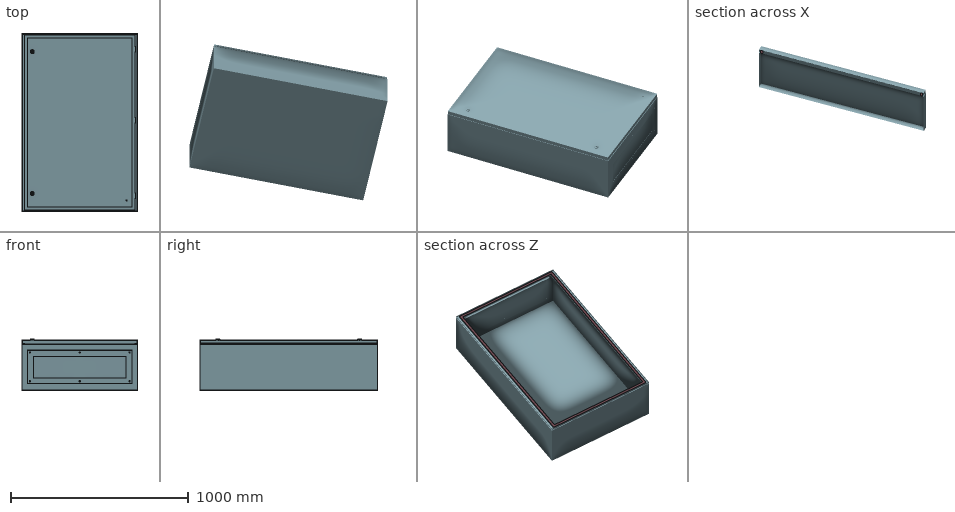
import cadquery as cq

box_width = 650.0
box_length = 1000.0
box_height = 260.0
box_wall = 1.5

door_width = 648.0
door_length = 996.0
door_sheet = 1.0
door_bottom = 261.0
door_top = 283.0
hinge_side_clearance = 4.0
gasket_outer_width = 621.0
gasket_outer_length = 984.0
gasket_width = 17.0
gasket_inner_width = gasket_outer_width - 2 * gasket_width
gasket_inner_length = gasket_outer_length - 2 * gasket_width
door_hole_diameter = 6.0
door_hole_x = 264.0
door_hole_y = -437.0

hinge_length = 30.0
hinge_width = 4.0
hinge_height = 8.0
hinge_centres_y = (413.0, 14.0, -411.0)

lock_base_diameter = 22.0
lock_top_diameter = 16.0
lock_height = 6.0
lock_rim_height = 3.0
lock_x = -267.0
lock_offset_y = 399.0
socket_diameter = 9.5
socket_depth = 4.0
socket_pin_diameter = 4.2

plate_width = 586.0
plate_height = 190.0
plate_thickness = 2.0
plate_centre_z = 132.0
plate_lip_depth = 10.0
opening_width = 523.0
opening_height = 123.0
opening_centre_z = box_height / 2
screw_hole_diameter = 6.0
screw_spacing_x = 281.0
screw_spacing_z = 162.0


def block(width, length, bottom, top):
    """Rectangular block centred on X = Y = 0 between two heights."""
    return (
        cq.Workplane("XY")
        .workplane(offset=bottom)
        .rect(width, length)
        .extrude(top - bottom)
    )


def wall_block(width, height, centre_z, outer_y, thickness):
    """Upright block centred on X = 0 and centre_z, reaching inward from outer_y."""
    return (
        cq.Workplane("XZ", origin=(0, outer_y, centre_z))
        .rect(width, height)
        .extrude(-thickness)
    )


def screw_holes(outer_y, depth):
    """Cutters for two rows of three screw holes through the -Y side."""
    return (
        cq.Workplane("XZ", origin=(0, outer_y, plate_centre_z))
        .rarray(screw_spacing_x, screw_spacing_z, 3, 2)
        .circle(screw_hole_diameter / 2)
        .extrude(-depth)
    )


def make_box():
    inside = block(
        box_width - 2 * box_wall, box_length - 2 * box_wall, box_wall, box_height - box_wall
    )
    mouth = block(gasket_inner_width, gasket_inner_length, box_height - box_wall, box_height)
    gland_opening = wall_block(
        opening_width, opening_height, opening_centre_z, -box_length / 2, box_wall
    )
    shell = block(box_width, box_length, 0, box_height)
    shell = shell.cut(inside).cut(mouth).cut(gland_opening)
    return shell.cut(screw_holes(-box_length / 2, box_wall))


def make_gland_plate():
    outer_y = -box_length / 2 + box_wall
    plate = wall_block(plate_width, plate_height, plate_centre_z, outer_y, plate_thickness)
    lip_centre_z = plate_centre_z + (plate_height - plate_thickness) / 2
    plate = plate.union(
        wall_block(plate_width, plate_thickness, lip_centre_z, outer_y, plate_lip_depth)
    )
    return plate.cut(screw_holes(outer_y, plate_thickness))


def make_lock(y):
    """Lock head standing on the door face, with its socket cut from the top."""
    lock_top = door_top + lock_height
    head = (
        cq.Workplane("XY", origin=(lock_x, y, door_top))
        .circle(lock_base_diameter / 2)
        .extrude(lock_height)
        .faces(">Z")
        .chamfer(lock_height - lock_rim_height, (lock_base_diameter - lock_top_diameter) / 2)
    )
    socket = (
        cq.Workplane("XY", origin=(lock_x, y, lock_top))
        .circle(socket_diameter / 2)
        .circle(socket_pin_diameter / 2)
        .extrude(-socket_depth)
    )
    return head.cut(socket)


def make_door():
    face_bottom = door_top - door_sheet
    inside_width = door_width - 2 * door_sheet
    inside_length = door_length - 2 * door_sheet
    door = block(door_width, door_length, door_bottom, door_top)
    door = door.cut(block(inside_width, inside_length, door_bottom, face_bottom))

    door = door.cut(
        cq.Workplane("XY", origin=(door_width / 2, 0, door_bottom))
        .box(2 * door_sheet, door_length, 2 * hinge_side_clearance)
    )

    gasket = block(gasket_outer_width, gasket_outer_length, box_height, face_bottom)
    gasket = gasket.cut(block(gasket_inner_width, gasket_inner_length, box_height, face_bottom))
    door = door.union(gasket)

    for y in hinge_centres_y:
        hinge = cq.Workplane("XY").box(
            hinge_width, hinge_length, hinge_height, centered=(False, True, False)
        )
        door = door.union(hinge.translate((gasket_outer_width / 2, y, face_bottom - hinge_height)))

    for side in (-1, 1):
        door = door.union(make_lock(side * lock_offset_y))

    hole = (
        cq.Workplane("XY", origin=(door_hole_x, door_hole_y, door_top))
        .circle(door_hole_diameter / 2)
        .extrude(-door_sheet)
    )
    return door.cut(hole)


box = make_box()
door = make_door()
gland_plate = make_gland_plate()

result = cq.Compound.makeCompound([box.val(), door.val(), gland_plate.val()])